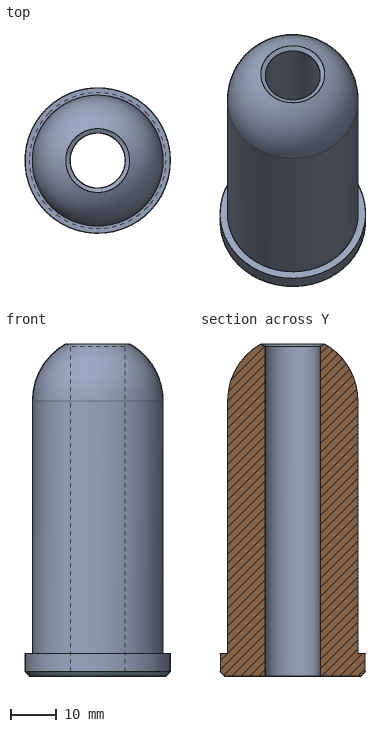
import cadquery as cq
import math

total_height = 72.5
body_radius = 28.6 / 2
bore_radius = 12.0 / 2

flange_radius = 31.8 / 2
flange_height = 5.0
flange_chamfer = 1.0

dome_base_height = 60.05
dome_height = total_height - dome_base_height
tip_radius = math.sqrt(body_radius**2 - dome_height**2)

mouth_depth = 0.6

dome_mid_angle = math.asin(dome_height / body_radius) / 2
dome_mid_point = (
    body_radius * math.cos(dome_mid_angle),
    dome_base_height + body_radius * math.sin(dome_mid_angle),
)


def make_outer_body():
    """Revolve the half outline of flange, cylinder and nose about Z."""
    outline = (
        cq.Workplane("XZ")
        .lineTo(flange_radius - flange_chamfer, 0)
        .lineTo(flange_radius, flange_chamfer)
        .lineTo(flange_radius, flange_height)
        .lineTo(body_radius, flange_height)
        .lineTo(body_radius, dome_base_height)
        .threePointArc(dome_mid_point, (tip_radius, total_height))
        .lineTo(0, total_height)
        .close()
    )
    return outline.revolve(360, (0, 0), (0, 1))


def make_bore():
    """Full-height hole whose conical mouth widens to a sharp rim at the tip."""
    half_profile = (
        cq.Workplane("XZ")
        .lineTo(bore_radius, 0)
        .lineTo(bore_radius, total_height - mouth_depth)
        .lineTo(tip_radius, total_height)
        .lineTo(0, total_height)
        .close()
    )
    return half_profile.revolve(360, (0, 0), (0, 1))


result = make_outer_body().cut(make_bore())